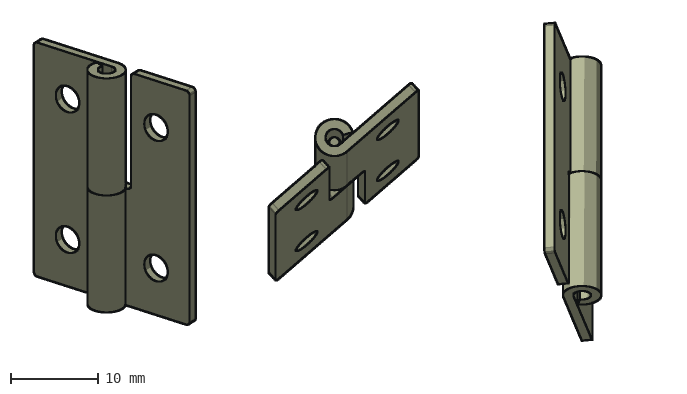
import cadquery as cq
import math

hinge_height = 30.0
hinge_width = 22.0
sheet_thickness = 1.2
corner_radius = 0.5

pin_diameter = 2.0
pin_recess = 2.0
taper_depth = 0.42
taper_length = 2.4
lip_gap = 0.05

notch_edge = 2.7
hole_diameter = 3.3
hole_offset = 6.25
hole_spacing = 18.0

half_height = hinge_height / 2
half_width = hinge_width / 2
bore_radius = pin_diameter / 2
knuckle_radius = bore_radius + sheet_thickness


def make_plate():
    """Flat plate of the left leaf: full width above mid height, notched below."""
    outline = [
        (-half_width, -half_height),
        (-notch_edge, -half_height),
        (-notch_edge, 0),
        (0, 0),
        (0, half_height),
        (-half_width, half_height),
    ]
    rounded_corners = [outline[0], outline[1], outline[2], outline[5]]
    plate = (
        cq.Workplane("XZ", origin=(0, knuckle_radius, 0))
        .polyline(outline)
        .close()
        .extrude(sheet_thickness)
    )
    for x, z in rounded_corners:
        corner_edge = cq.selectors.NearestToPointSelector((x, knuckle_radius - sheet_thickness / 2, z))
        plate = plate.edges("|Y").edges(corner_edge).fillet(corner_radius)
    hole_centres = [(-hole_offset, z) for z in (-hole_spacing / 2, hole_spacing / 2)]
    holes = (
        cq.Workplane("XZ", origin=(0, knuckle_radius, 0))
        .pushPoints(hole_centres)
        .circle(hole_diameter / 2)
        .extrude(sheet_thickness)
    )
    return plate.cut(holes)


def make_knuckle():
    """Sheet rolled around the pin, from the plate's end to a radial lip just under the plate."""
    lip_angle = math.pi - math.asin((bore_radius - lip_gap) / knuckle_radius)

    def lip_point(radius):
        return (radius * math.cos(lip_angle), radius * math.sin(lip_angle))

    return (
        cq.Workplane("XY")
        .moveTo(0, knuckle_radius)
        .threePointArc((0, -knuckle_radius), lip_point(knuckle_radius))
        .lineTo(*lip_point(bore_radius))
        .threePointArc((0, -bore_radius), (0, bore_radius))
        .close()
        .extrude(half_height)
    )


def make_leaf(turn_angle):
    """One leaf, turned about the Y axis: 0 for the left leaf, 180 for the right leaf."""
    leaf = make_plate().union(make_knuckle())
    return leaf.rotate((0, 0, 0), (0, 1, 0), turn_angle)


def make_pin():
    """Pin filling the bore, with a steep taper at each of its two recessed ends."""
    half_length = half_height - pin_recess
    tip_radius = bore_radius - taper_depth
    taper_start = half_length - taper_length
    return (
        cq.Workplane("XZ")
        .polyline([
            (0, -half_length),
            (tip_radius, -half_length),
            (bore_radius, -taper_start),
            (bore_radius, taper_start),
            (tip_radius, half_length),
            (0, half_length),
        ])
        .close()
        .revolve(360, (0, 0), (0, 1))
    )


leaves = [make_leaf(turn_angle) for turn_angle in (0, 180)]
pin = make_pin()

result = cq.Compound.makeCompound([*(leaf.val() for leaf in leaves), pin.val()])